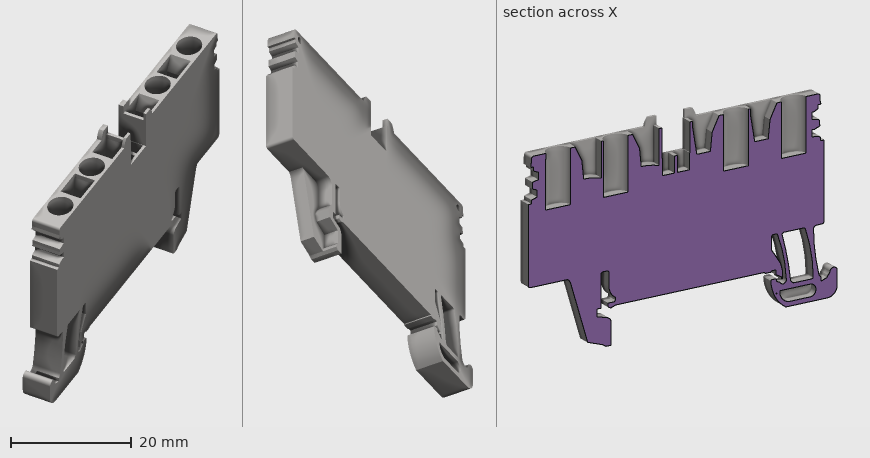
import cadquery as cq

thickness = 5.1
total_length = 60.15
total_height = 38.05
body_half = 28.8
body_bottom = 13.28
body_top = 36.5
foot_end = body_half - total_length
seat_bottom = 6.93
clearance = 1.0
overlap = 0.5

shoulder_y = 28.2
shoulder_z = 28.13
groove_floor_y = -26.75
upper_groove = (32.15, 33.4)
lower_groove = (29.1, 30.3)

cavity_x0 = 0.87
cavity_x1 = 4.6
slot_pocket_x0 = 1.05

slot_y0 = -2.65
slot_y1 = 2.75
tab_inner = 2.75
slot_floor = 31.06
slot_pocket_depth = 3.0
slot_ledge = 0.1
slot_rib_y0 = -0.26
slot_rib_y1 = 0.43

hole_width = 4.2
hole_length = 4.8
hole_depth = 10.0
hole_centres = (22.95, 11.75, -11.65, -22.85)
cavity_length = 5.1
cavity_depth = 6.0
steep_run = 1.35
steep_drop = 2.7
lower_run = 0.35
left_cavity_ends = (19.65, 8.45)
right_cavity_ends = (-8.3, -19.55)

pin_hole_d = 1.2
pin_hole_depth = 0.8
pin_hole_y = 26.45
pin_hole_z = 35.1

latch_recess_depth = thickness / 2
foot_recess_depth = 4.2
leg_y = -26.75
latch_inner = 14.58
seat_latch_side = 13.13
seat_foot_side = -18.6
arm_y = -19.6
small_radius = 0.3
corner_radius = 0.5


def prism(outline, x0=0.0, x1=thickness):
    """Extrude a closed (Y, Z) outline from x0 to x1."""
    return outline.close().extrude(x1 - x0).translate((x0, 0, 0))


def start(y, z):
    return cq.Workplane("YZ").moveTo(y, z)


def box(x0, x1, y0, y1, z0, z1):
    return cq.Workplane("XY").box(x1 - x0, y1 - y0, z1 - z0, centered=False).translate((x0, y0, z0))


def round_corners(solid, corners, radius):
    """Round the edges along X that pass through the given (Y, Z) corners."""
    reach = 0.05
    for y, z in corners:
        picker = cq.selectors.BoxSelector(
            (-clearance, y - reach, z - reach), (thickness + clearance, y + reach, z + reach)
        )
        solid = solid.edges("|X").edges(picker).fillet(radius)
    return solid


def make_body():
    left_end = [
        (28.15, body_top),
        (28.3, 34.5),
        (27.8, 34.5),
        (27.8, 33.8),
        (26.85, 33.4),
        (26.85, 32.15),
        (28.0, 31.9),
        (28.0, 30.65),
        (27.08, 30.3),
        (27.08, 29.1),
        (shoulder_y, 28.8),
        (shoulder_y, shoulder_z),
        (body_half, shoulder_z),
        (body_half, body_bottom),
    ]
    right_end = [
        (-28.0, body_top),
        (-28.05, 35.1),
        (-shoulder_y, 34.5),
        (-27.65, 34.5),
        (-27.6, 33.8),
        (groove_floor_y, upper_groove[1]),
        (groove_floor_y, upper_groove[0]),
        (-27.85, 31.9),
        (-27.9, 31.3),
        (-28.0, 30.7),
        (-26.9, lower_groove[1]),
        (-27.05, lower_groove[0]),
        (-28.1, 28.8),
        (-28.15, shoulder_z),
        (-body_half, shoulder_z),
        (-body_half, body_bottom),
    ]
    body = prism(cq.Workplane("YZ").polyline(left_end + right_end[::-1]))
    bottom_corners = [(body_half, body_bottom), (-body_half, body_bottom)]
    return round_corners(body, [left_end[0], right_end[0]] + bottom_corners, corner_radius)


def make_groove_relief(z_range):
    """Deepening of a groove floor that starts with a ramp near the X = 0 side."""
    ramp_x0 = 0.27
    ramp_x1 = 0.75
    relief = 0.3
    z0, z1 = z_range
    return (
        cq.Workplane("XY", origin=(0, 0, z0))
        .moveTo(ramp_x0, groove_floor_y - relief)
        .lineTo(ramp_x0, groove_floor_y)
        .lineTo(ramp_x1, groove_floor_y + relief)
        .lineTo(thickness, groove_floor_y + relief)
        .lineTo(thickness, groove_floor_y - relief)
        .close()
        .extrude(z1 - z0)
    )


def make_tab(side):
    """Raised guide beside the marker slot; side is +1 or -1 along Y."""
    foot_y = 5.0
    flat_y = 4.25
    tab = prism(
        start(side * tab_inner, body_top - overlap)
        .lineTo(side * tab_inner, total_height)
        .lineTo(side * flat_y, total_height)
        .threePointArc((side * 4.7, 37.4), (side * foot_y, body_top))
        .lineTo(side * foot_y, body_top - overlap)
    )
    gap = box(cavity_x0, cavity_x1, -body_half, body_half, body_top, total_height)
    return tab.cut(gap)


def make_seat():
    """Block between latch and foot that rests on the rail."""
    lip_y0 = -18.5
    lip_y1 = -17.25
    lip_z = 6.72
    return prism(
        start(seat_latch_side, body_bottom + overlap)
        .lineTo(seat_latch_side, 10.5)
        .threePointArc((12.85, 9.4), (11.85, 8.3))
        .lineTo(11.85, 7.85)
        .lineTo(12.1, 7.64)
        .lineTo(13.3, 7.64)
        .lineTo(13.3, 6.9)
        .lineTo(12.7, 6.6)
        .lineTo(11.8, seat_bottom)
        .lineTo(lip_y1, seat_bottom)
        .lineTo(lip_y1, lip_z)
        .lineTo(lip_y0, lip_z)
        .lineTo(lip_y0, seat_bottom)
        .lineTo(-19.35, seat_bottom)
        .lineTo(-19.35, 6.1)
        .lineTo(-20.45, 5.5)
        .lineTo(-20.45, 5.1)
        .lineTo(-20.75, 5.1)
        .lineTo(-20.75, 6.4)
        .threePointArc((-20.55, 7.2), (-20.3, 8.0))
        .lineTo(seat_foot_side, 10.64)
        .lineTo(seat_foot_side, body_bottom + overlap)
    )


def make_latch():
    outline = (
        start(21.1, body_bottom + overlap)
        .lineTo(21.1, body_bottom)
        .threePointArc((20.75, 12.9), (20.5, 12.3))
        .lineTo(17.25, 1.42)
        .lineTo(14.25, 0.4)
        .lineTo(13.7, 0)
        .lineTo(12.6, 0)
        .lineTo(12.6, 3.9)
        .threePointArc((12.8, 4.65), (13.4, 5.1))
        .lineTo(15.33, 5.63)
        .lineTo(15.33, seat_bottom)
        .lineTo(latch_inner, seat_bottom)
        .lineTo(latch_inner, body_bottom + overlap)
    )
    recess = prism(
        start(22.0, body_bottom)
        .lineTo(17.1, body_bottom)
        .threePointArc((16.1, 12.88), (15.69, 11.9))
        .lineTo(15.69, 8.2)
        .threePointArc((16.4, 7.45), (16.95, 6.3))
        .lineTo(16.4, 5.1)
        .lineTo(13.76, 4.1)
        .lineTo(13.76, 1.5)
        .lineTo(14.25, 0.9)
        .lineTo(14.25, -clearance)
        .lineTo(22.0, -clearance),
        -clearance,
        latch_recess_depth,
    )
    return prism(outline).cut(recess)


def make_foot():
    window_top = [(-20.55, body_bottom), (-25.0, body_bottom)]
    window_bottom = [(-22.35, 4.05), (-26.6, 4.05)]
    foot = prism(
        start(arm_y, body_bottom + overlap)
        .lineTo(arm_y, body_bottom)
        .threePointArc((-20.77, 9.4), (-21.33, 5.2))
        .threePointArc((-21.15, 4.4), (-20.6, 4.25))
        .lineTo(-20.1, 4.7)
        .lineTo(-19.55, 4.95)
        .lineTo(-19.55, 5.45)
        .lineTo(-18.55, 5.45)
        .lineTo(-18.35, 5.25)
        .threePointArc((-19.5, 1.75), (-21.3, 0))
        .lineTo(-29.4, 0)
        .threePointArc((-30.8, 0.6), (foot_end, 2.0))
        .lineTo(foot_end, 4.6)
        .threePointArc((-30.6, 5.28), (-29.85, 4.6))
        .threePointArc((-28.75, 3.82), (-27.75, 4.7))
        .threePointArc((-27.03, 8.6), (leg_y, body_bottom))
        .lineTo(leg_y, body_bottom + overlap)
    )
    window = prism(
        start(*window_top[0])
        .lineTo(*window_top[1])
        .threePointArc((-26.1, 9.2), window_bottom[1])
        .lineTo(*window_bottom[0])
        .threePointArc((-21.55, 9.2), window_top[0])
    )
    window = round_corners(window, window_top + window_bottom[1:], small_radius)
    window = round_corners(window, window_bottom[:1], 0.7)
    return foot.cut(window).cut(make_foot_recess()).cut(make_valley_groove())


def make_valley_groove():
    """Sharp groove that deepens the valley behind the hook, away from X = 0."""
    return prism(
        start(-28.2, 4.6)
        .lineTo(-28.2, 3.3)
        .lineTo(-29.28, 3.7)
        .lineTo(-29.8, 4.6),
        1.0,
    )


def make_foot_recess():
    floor_z = 0.93
    roof_z = 3.1
    inner_y = -20.2
    outer_y = -27.1
    corner = 1.0
    recess = prism(
        start(inner_y, roof_z)
        .lineTo(inner_y, 2.6)
        .threePointArc((-20.7, 1.6), (-21.8, floor_z))
        .lineTo(outer_y, floor_z)
        .lineTo(outer_y, roof_z),
        0,
        foot_recess_depth,
    )
    return round_corners(recess, [(outer_y, floor_z), (outer_y, roof_z)], corner)


def make_hole(y):
    return (
        cq.Workplane("XY", origin=(thickness / 2, y, body_top - hole_depth))
        .ellipse(hole_width / 2, hole_length / 2)
        .extrude(hole_depth + clearance)
    )


def make_left_cavity(outer_y):
    """Spring opening with a steep outer wall and a floor curving down inwards."""
    floor = body_top - cavity_depth
    step_y = outer_y - steep_run
    floor_start = step_y - lower_run
    floor_sag = 0.5
    inner_y = outer_y - cavity_length
    floor_middle = (floor_start + inner_y) / 2
    return prism(
        start(outer_y, body_top)
        .lineTo(step_y, body_top - steep_drop)
        .lineTo(floor_start, floor)
        .threePointArc((floor_middle, floor - floor_sag / 4), (inner_y, floor - floor_sag))
        .lineTo(inner_y, body_top),
        cavity_x0,
        cavity_x1,
    )


def make_right_cavity(outer_y):
    """Spring opening with a steep outer wall and a sloping lower inner wall."""
    floor = body_top - cavity_depth
    step_y = outer_y + steep_run
    inner_y = outer_y + cavity_length
    lip_depth = 0.9
    slope_run = 0.85
    return prism(
        start(outer_y, body_top)
        .lineTo(step_y, body_top - steep_drop)
        .lineTo(step_y + lower_run, floor)
        .lineTo(inner_y - slope_run, floor)
        .lineTo(inner_y, body_top - lip_depth)
        .lineTo(inner_y, body_top),
        cavity_x0,
        cavity_x1,
    )


def cut_marker_slot(part):
    part = part.cut(box(0, thickness, slot_y0, slot_y1, slot_floor, total_height))
    pocket_floor = slot_floor - slot_pocket_depth
    pockets = ((slot_y0 + slot_ledge, slot_rib_y0), (slot_rib_y1, slot_y1 - slot_ledge))
    for y0, y1 in pockets:
        part = part.cut(box(slot_pocket_x0, cavity_x1, y0, y1, pocket_floor, slot_floor))
    return part


def make_pin_hole(y):
    return (
        cq.Workplane("YZ")
        .center(y, pin_hole_z)
        .circle(pin_hole_d / 2)
        .extrude(pin_hole_depth)
    )


part = make_body()
for piece in (make_seat(), make_latch(), make_foot(), make_tab(1), make_tab(-1)):
    part = part.union(piece)
root_sides = (latch_inner, seat_latch_side, seat_foot_side, arm_y)
part = round_corners(part, [(y, body_bottom) for y in root_sides], small_radius)
part = round_corners(part, [(leg_y, body_bottom)], corner_radius)
part = cut_marker_slot(part)
for hole_y in hole_centres:
    part = part.cut(make_hole(hole_y))
for end_y in left_cavity_ends:
    part = part.cut(make_left_cavity(end_y))
for end_y in right_cavity_ends:
    part = part.cut(make_right_cavity(end_y))
for groove in (upper_groove, lower_groove):
    part = part.cut(make_groove_relief(groove))
for pin_y in (pin_hole_y, -pin_hole_y):
    part = part.cut(make_pin_hole(pin_y))

result = part